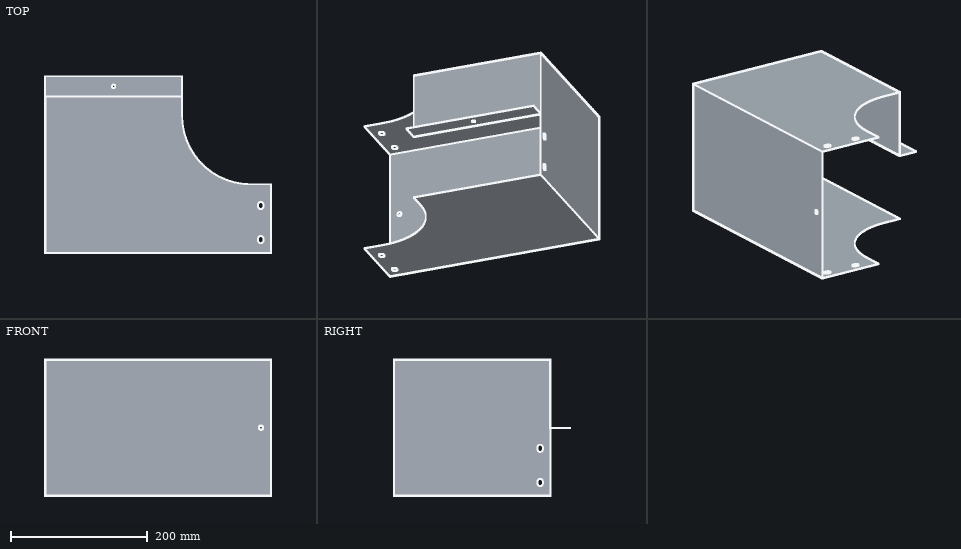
import cadquery as cq

LENGTH = 331.0
DEPTH = 259.0
HEIGHT = 200.0
SHEET = 1.0

TAB_LENGTH = 29.0
BODY_DEPTH = DEPTH - TAB_LENGTH
WIDE_ARM = HEIGHT + SHEET
NARROW_ARM = HEIGHT / 2 + SHEET
INNER_RADIUS = 100.0

SLOT_WIDTH = 7.5
SLOT_LENGTH = 10.3
SLOT_INSET = 15.2
SLOT_POSITIONS = (20.0, 70.0)
HOLE_DIAMETER = 5.0
COUNTERSINK_DIAMETER = 7.0
HOLE_INSET = 15.0


def box(corner, size):
    """Box placed by its lowest corner."""
    return cq.Workplane("XY").box(*size, centered=False).translate(corner)


def side_plate(bottom):
    """Elbow-shaped plate with a rounded inside corner."""
    return (
        cq.Workplane("XY", origin=(0, 0, bottom))
        .lineTo(LENGTH, 0)
        .lineTo(LENGTH, NARROW_ARM)
        .lineTo(WIDE_ARM + INNER_RADIUS, NARROW_ARM)
        .radiusArc((WIDE_ARM, NARROW_ARM + INNER_RADIUS), INNER_RADIUS)
        .lineTo(WIDE_ARM, BODY_DEPTH)
        .lineTo(0, BODY_DEPTH)
        .close()
        .extrude(SHEET)
    )


body = side_plate(0).union(side_plate(HEIGHT - SHEET))
body = body.union(box((0, 0, 0), (LENGTH, SHEET, HEIGHT)))
body = body.union(box((0, 0, 0), (SHEET, BODY_DEPTH, HEIGHT)))

tab_bottom = HEIGHT / 2 - SHEET
closing_wall = box(
    (0, BODY_DEPTH - SHEET, tab_bottom),
    (WIDE_ARM, SHEET, HEIGHT - tab_bottom),
)
tab = box(
    (0, BODY_DEPTH - SHEET, tab_bottom),
    (WIDE_ARM, TAB_LENGTH + SHEET, SHEET),
)
body = body.union(closing_wall).union(tab)

plate_slots = (
    cq.Workplane("XY")
    .pushPoints([(LENGTH - SLOT_INSET, y) for y in SLOT_POSITIONS])
    .slot2D(SLOT_LENGTH, SLOT_WIDTH, 90)
    .extrude(HEIGHT)
)

wall_slots = (
    cq.Workplane("YZ")
    .pushPoints([(BODY_DEPTH - SLOT_INSET, z) for z in SLOT_POSITIONS])
    .slot2D(SLOT_LENGTH, SLOT_WIDTH, 90)
    .extrude(SHEET)
)

tab_hole = (
    cq.Workplane("XY", origin=(WIDE_ARM / 2, DEPTH - HOLE_INSET, tab_bottom))
    .circle(HOLE_DIAMETER / 2)
    .extrude(SHEET)
)

wall_hole = (
    cq.Workplane("XZ", origin=(LENGTH - HOLE_INSET, 0, HEIGHT / 2))
    .circle(COUNTERSINK_DIAMETER / 2)
    .workplane(offset=-SHEET)
    .circle(HOLE_DIAMETER / 2)
    .loft(ruled=True)
)

result = body.cut(plate_slots).cut(wall_slots).cut(tab_hole).cut(wall_hole)